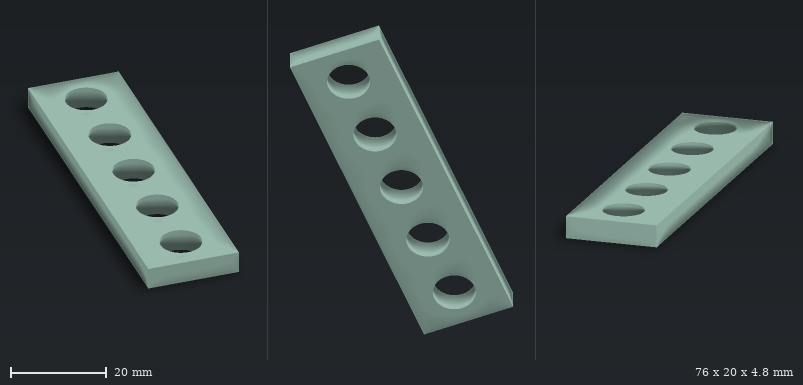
import cadquery as cq

length = 76.0
width = 20.0
thickness = 4.8

hole_count = 5
hole_diameter = 9.0
hole_pitch = 15.0

bar = cq.Workplane("XY").box(length, width, thickness)

result = (
    bar.faces(">Z")
    .workplane()
    .rarray(hole_pitch, width, hole_count, 1)
    .hole(hole_diameter)
)